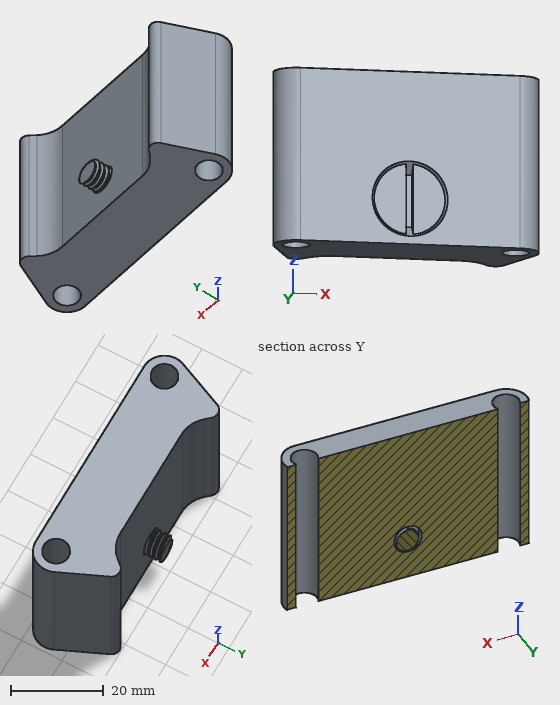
import cadquery as cq
import math

height = 38.0
pin_spacing = 48.0
pin_hole_diameter = 6.0
corner_radius = 5.0
saddle_depth = 15.0
horn_depth = 19.41
horn_spacing = 43.6
horn_radius = 2.0
horn_slope = math.radians(48)
saddle_radius = 7.5

screw_height = 10.0
countersink_diameter = 16.5
clearance_diameter = 6.5
cone_half_angle = math.radians(45)
head_recess = 0.5
screw_end = 19.0
slot_width = 1.6
slot_depth = 2.0

major_diameter = 6.17
minor_diameter = 4.81
pitch = 1.27
crest_width = pitch / 8
flank_half_angle = math.radians(30)
root_overlap = 0.1
thread_start_angle = 270.0


def cone_depth(radius):
    """Depth behind the front face at which the countersink has this radius."""
    return (countersink_diameter / 2 - radius) / math.tan(cone_half_angle)


def point_on_circle(center, radius, angle):
    return (center[0] + radius * math.cos(angle), center[1] + radius * math.sin(angle))


def half_outline():
    """Open wire of the right half: front face, corner, side, horn and saddle, ending on the axis."""
    corner = (pin_spacing / 2, corner_radius)
    horn = (horn_spacing / 2, horn_depth - horn_radius)

    run = (horn[0] - corner[0], horn[1] - corner[1])
    center_distance = math.hypot(*run)
    side_angle = math.atan2(run[1], run[0]) - math.acos((corner_radius - horn_radius) / center_distance)
    corner_start_angle = -math.pi / 2
    corner_middle = point_on_circle(corner, corner_radius, (corner_start_angle + side_angle) / 2)
    corner_end = point_on_circle(corner, corner_radius, side_angle)

    flank_angle = math.pi / 2 + horn_slope
    horn_start = point_on_circle(horn, horn_radius, side_angle)
    horn_middle = point_on_circle(horn, horn_radius, (side_angle + flank_angle) / 2)
    flank_top = point_on_circle(horn, horn_radius, flank_angle)
    flank_bottom_y = saddle_depth + saddle_radius * (1 - math.cos(horn_slope))
    flank_bottom = (
        flank_top[0] - (flank_top[1] - flank_bottom_y) / math.tan(horn_slope),
        flank_bottom_y,
    )
    fillet = (flank_bottom[0] - saddle_radius * math.sin(horn_slope), saddle_depth + saddle_radius)
    fillet_middle = point_on_circle(fillet, saddle_radius, (horn_slope - math.pi) / 2)

    return (
        cq.Workplane("XY")
        .lineTo(corner[0], 0)
        .threePointArc(corner_middle, corner_end)
        .lineTo(*horn_start)
        .threePointArc(horn_middle, flank_top)
        .lineTo(*flank_bottom)
        .threePointArc(fillet_middle, (fillet[0], saddle_depth))
        .lineTo(0, saddle_depth)
    )


def revolved_about_screw_axis(profile):
    """Solid of a profile of (radius, Y) points turned about the screw axis."""
    solid = cq.Workplane("XY").polyline(profile).close().revolve(360, (0, 0), (0, 1))
    return solid.translate((0, 0, screw_height))


def make_housing():
    body = half_outline().mirrorY().extrude(height)

    pin_holes = (
        cq.Workplane("XY")
        .pushPoints([(-pin_spacing / 2, corner_radius), (pin_spacing / 2, corner_radius)])
        .circle(pin_hole_diameter / 2)
        .extrude(height)
    )
    clearance_radius = clearance_diameter / 2
    screw_hole = revolved_about_screw_axis([
        (0, 0),
        (countersink_diameter / 2, 0),
        (clearance_radius, cone_depth(clearance_radius)),
        (clearance_radius, saddle_depth),
        (0, saddle_depth),
    ])
    return body.cut(pin_holes).cut(screw_hole)


def make_thread(start, end):
    """Helical ridge round the screw axis, trimmed flat at its far end."""
    crest_radius = major_diameter / 2
    base_radius = minor_diameter / 2 - root_overlap
    half_crest = crest_width / 2
    half_base = half_crest + (crest_radius - base_radius) * math.tan(flank_half_angle)
    helix = cq.Wire.makeHelix(pitch, end + pitch - start, base_radius)
    ridge = (
        cq.Workplane("XZ")
        .polyline([
            (base_radius, -half_base),
            (crest_radius, -half_crest),
            (crest_radius, half_crest),
            (base_radius, half_base),
        ])
        .close()
        .sweep(cq.Workplane(obj=helix), isFrenet=True)
    )
    ridge = (
        ridge.rotate((0, 0, 0), (0, 0, 1), thread_start_angle)
        .rotate((0, 0, 0), (1, 0, 0), -90)
        .translate((0, start, screw_height))
    )
    envelope_radius = 2 * crest_radius
    envelope = revolved_about_screw_axis([(0, 0), (envelope_radius, 0), (envelope_radius, end), (0, end)])
    return ridge.intersect(envelope)


def make_screw():
    core_radius = minor_diameter / 2
    head_radius = countersink_diameter / 2 - head_recess * math.tan(cone_half_angle)
    head_end = cone_depth(core_radius)
    blank = revolved_about_screw_axis([
        (0, head_recess),
        (head_radius, head_recess),
        (core_radius, head_end),
        (core_radius, screw_end),
        (0, screw_end),
    ])
    slot = (
        cq.Workplane("XY")
        .box(slot_width, slot_depth, countersink_diameter, centered=(True, False, True))
        .translate((0, head_recess, screw_height))
    )
    return blank.union(make_thread(head_end, screw_end)).cut(slot)


housing = make_housing()
screw = make_screw()

result = cq.Compound.makeCompound([housing.solids().val(), screw.solids().val()])